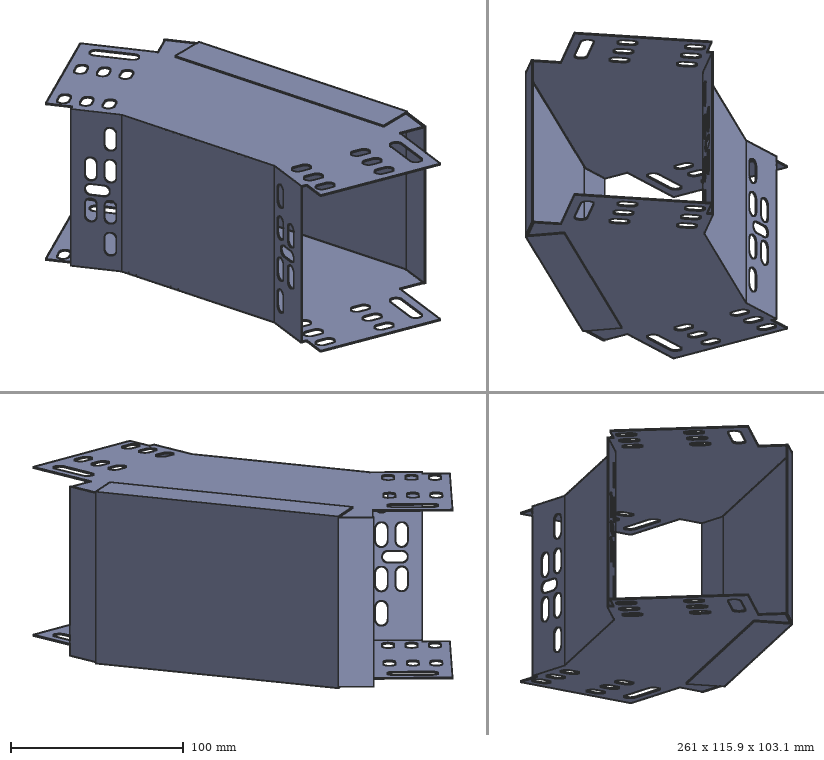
import cadquery as cq
import math

total_length = 261.0
sheet = 0.8
channel_size = 101.5
bend_angle = 22.5

plate_reach = 46.5
front_flap_length = 30.5
plate_step = 3.7
plate_end_width = 80.6
plate_back = plate_step + plate_end_width

cover_flange_depth = 23.0
cover_clearance = 0.5
cover_overhang = 0.5

slot_width = 7.0
short_slot_length = 12.0
long_slot_width = 7.5
long_slot_length = 29.8
long_slot_place = (23.5, 74.6)
short_slot_alongs = (10.5, 24.0, 37.5)
short_slot_acrosses = (12.0, 51.7)
flap_slot_length = 15.0
inner_column_along = 6.8
outer_column_along = 18.5
near_slot_height = 13.3
far_slot_height = 34.0
lying_slot_along = outer_column_along + slot_width / 2 - flap_slot_length / 2

cos_bend = math.cos(math.radians(bend_angle))
sin_bend = math.sin(math.radians(bend_angle))
mitre = math.tan(math.radians(bend_angle / 2))
front_bend_x = total_length / 2 - plate_reach * cos_bend - plate_back * sin_bend
half_height = channel_size / 2
cover_half_height = half_height + sheet
cover_inner = channel_size - sheet
plate_back_edge = cover_inner - cover_clearance


def end_point(along, across):
    """Right-hand end: distances from the front bend, along and across the turned direction."""
    x = front_bend_x + along * cos_bend + across * sin_bend
    y = -along * sin_bend + across * cos_bend
    return (x, y)


def bend_point(depth):
    """Right-hand bend line of a wall lying at this depth behind the front face."""
    return (front_bend_x + depth * mitre, depth)


def symmetric_prism(right_half, bottom, top):
    """Extrude the outline made of these right-hand points and their mirror images."""
    left_half = [(-x, y) for x, y in reversed(right_half)]
    outline = cq.Workplane("XY").workplane(offset=bottom).polyline(right_half + left_half)
    return outline.close().extrude(top - bottom)


def bent_wall(outer, inner, end_along):
    """Upright wall between two depths, following the bends to the end of its flaps."""
    right_half = [
        bend_point(outer),
        end_point(end_along, outer),
        end_point(end_along, inner),
        bend_point(inner),
    ]
    return symmetric_prism(right_half, -half_height, half_height)


def make_plate(bottom):
    right_half = [
        bend_point(0),
        end_point(front_flap_length, 0),
        end_point(front_flap_length, plate_step),
        end_point(plate_reach, plate_step),
        end_point(plate_reach, plate_back),
        end_point(0, plate_back),
        end_point(0, plate_back_edge),
        bend_point(plate_back_edge),
    ]
    return symmetric_prism(right_half, bottom, bottom + sheet)


def plate_slot_cutter(along, across, length, width, angle):
    x, y = end_point(along, across)
    start = cq.Workplane("XY").workplane(offset=-half_height).center(x, y)
    return start.slot2D(length, width, angle).extrude(channel_size)


def flap_slot_cutter(along, height, angle):
    x, y = end_point(along, 0)
    flap_plane = cq.Plane(
        origin=(x, y, height),
        xDir=(cos_bend, -sin_bend, 0),
        normal=(-sin_bend, -cos_bend, 0),
    )
    slot = cq.Workplane(flap_plane).slot2D(flap_slot_length, slot_width, angle)
    return slot.extrude(sheet, both=True)


def end_slot_cutters():
    """All the slots of the right-hand end."""
    long_slot = plate_slot_cutter(*long_slot_place, long_slot_length, long_slot_width, -bend_angle)
    cutters = [long_slot]
    crosswise = 90 - bend_angle
    for across in short_slot_acrosses:
        for along in short_slot_alongs:
            cutter = plate_slot_cutter(along, across, short_slot_length, slot_width, crosswise)
            cutters.append(cutter)

    cutters.append(flap_slot_cutter(lying_slot_along, 0, 0))
    for side in (-1, 1):
        cutters.append(flap_slot_cutter(outer_column_along, side * near_slot_height, 90))
        for height in (near_slot_height, far_slot_height):
            cutters.append(flap_slot_cutter(inner_column_along, side * height, 90))
    return cutters


def make_channel():
    channel = bent_wall(0, sheet, front_flap_length)
    channel = channel.union(make_plate(-half_height))
    channel = channel.union(make_plate(half_height - sheet))
    for cutter in end_slot_cutters():
        channel = channel.cut(cutter)
        channel = channel.cut(cutter.mirror("YZ"))
    return channel


def make_cover():
    cover = bent_wall(channel_size, cover_inner, cover_overhang)
    flange_length = 2 * bend_point(channel_size)[0]
    flange_y = channel_size - cover_flange_depth / 2
    for side in (-1, 1):
        flange_z = side * (cover_half_height - sheet / 2)
        flange = cq.Workplane("XY").box(flange_length, cover_flange_depth, sheet)
        cover = cover.union(flange.translate((0, flange_y, flange_z)))
    return cover


channel = make_channel()
cover = make_cover()

result = cq.Compound.makeCompound([channel.val(), cover.val()])